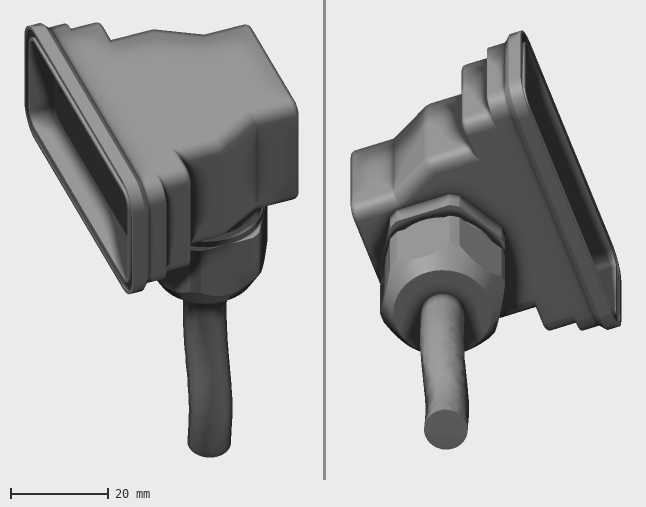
import cadquery as cq
import math


rim_width = 61.9
rim_height = 29.3
rim_corner = 6.0
rim_straight = 2.7
rim_chamfer = 1.5
rim_end = rim_straight + rim_chamfer

hood_height = rim_height - 2 * rim_chamfer
hood_bottom = -hood_height / 2
hood_corner = 3.1
flange_width = rim_width - 2 * rim_chamfer
flange_corner = 4.3
flange_end = 8.0
flange_edge = 0.3
step_width = 53.5
step_end = 14.6
step_edge = 1.0
body_width = 41.0
body_end = 24.2
neck_width = 30.3
neck_start = 33.4
hood_depth = 43.0
rear_edge = 1.2

lip_wall = 0.7
groove_width = 1.8
groove_depth = 0.7
cavity_inset = 2 * lip_wall + groove_width
cavity_depth = 5.4
pin_diameter = 3.0
pin_spacing = 47.1
pin_length = 1.2

gland_y = 28.0
hex_flats = 24.0
hex_corners = 26.6
hex_bottom = -17.7
gland_neck_diameter = 20.5
gland_neck_bottom = -20.6
collar_diameter = hex_flats
collar_bottom = -22.1
nut_cone_start = -33.4
nut_bottom = -39.1
nut_tip_diameter = 20.3

cable_diameter = 9.0
cable_end_x = 2.0
cable_end_z = -83.8
cable_end_tilt = 6.3


def rounded_block(width, height, corner, y_start, y_end):
    """Block along Y with a rounded rectangular section centred on the Y axis."""
    return (
        cq.Workplane("XZ", origin=(0, y_start, 0))
        .rect(width, height)
        .extrude(y_start - y_end)
        .edges("|Y")
        .fillet(corner)
    )


def make_rim():
    rim = rounded_block(rim_width, rim_height, rim_corner, 0, rim_end)
    return rim.faces(">Y").edges().chamfer(rim_chamfer)


def make_flange():
    flange = rounded_block(flange_width, hood_height, flange_corner, 0, flange_end)
    return flange.faces(">Y").edges().fillet(flange_edge)


def make_step():
    step = rounded_block(step_width, hood_height, hood_corner, 0, step_end)
    return step.faces(">Y").edges().fillet(step_edge)


def make_body():
    """Tapering rear part of the hood, its long edges, side bends and rear face rounded."""
    half_body = body_width / 2
    half_neck = neck_width / 2
    bend_margin = 1.0
    outline = [
        (-half_body, cavity_depth),
        (half_body, cavity_depth),
        (half_body, body_end),
        (half_neck, neck_start),
        (half_neck, hood_depth),
        (-half_neck, hood_depth),
        (-half_neck, neck_start),
        (-half_body, body_end),
    ]
    body = cq.Workplane("XY", origin=(0, 0, hood_bottom)).polyline(outline).close().extrude(hood_height)
    bend_zone = cq.selectors.BoxSelector(
        (-body_width, body_end - bend_margin, hood_bottom),
        (body_width, body_end + bend_margin, -hood_bottom),
    )
    bend_edges = body.edges("|Z").edges(bend_zone)
    side_edges = body.faces("|Z").edges("not(<Y or >Y)")
    body = bend_edges.add(side_edges).fillet(hood_corner)
    return body.faces(">Y").edges().fillet(rear_edge)


def make_groove():
    outer_inset = lip_wall
    inner_inset = lip_wall + groove_width
    outer, inner = [
        rounded_block(
            rim_width - 2 * inset, rim_height - 2 * inset, rim_corner - inset, 0, groove_depth
        )
        for inset in (outer_inset, inner_inset)
    ]
    return outer.cut(inner)


def make_cavity():
    width = rim_width - 2 * cavity_inset
    height = rim_height - 2 * cavity_inset
    return rounded_block(width, height, rim_corner - cavity_inset, 0, cavity_depth)


def make_pins():
    return (
        cq.Workplane("XZ", origin=(0, cavity_depth, 0))
        .rarray(pin_spacing, 1, 2, 1)
        .circle(pin_diameter / 2)
        .extrude(pin_length)
    )


def gland_plane(z):
    return cq.Workplane("XY", origin=(0, gland_y, z))


def gland_disc(diameter, top, bottom):
    return gland_plane(bottom).circle(diameter / 2).extrude(top - bottom)


def gland_hex(top, bottom):
    """Hexagon with two flats facing along X and its corners turned to a round."""
    hexagon = (
        gland_plane(bottom)
        .polygon(6, hex_flats, circumscribed=True)
        .extrude(top - bottom)
    )
    return hexagon.intersect(gland_disc(hex_corners, top, bottom))


def make_nut():
    """Hexagonal nut whose lower end is turned to a cone."""
    corner_radius = hex_corners / 2
    profile = [
        (0, collar_bottom),
        (corner_radius, collar_bottom),
        (corner_radius, nut_cone_start),
        (nut_tip_diameter / 2, nut_bottom),
        (0, nut_bottom),
    ]
    turned = (
        cq.Workplane("XZ", origin=(0, gland_y, 0))
        .polyline(profile)
        .close()
        .revolve(360, (0, 0, 0), (0, 1, 0))
    )
    return gland_hex(collar_bottom, nut_bottom).intersect(turned)


def make_gland():
    gland = gland_hex(0, hex_bottom)
    gland = gland.union(gland_disc(gland_neck_diameter, hex_bottom, gland_neck_bottom))
    gland = gland.union(gland_disc(collar_diameter, gland_neck_bottom, collar_bottom))
    return gland.union(make_nut())


def make_cable():
    """Round cable swept along a gentle S-bend, cut square to its path at the free end."""
    tilt = math.radians(cable_end_tilt)
    path_points = [
        (0, nut_bottom),
        (-0.5, -49.5),
        (0.7, -61.1),
        (2.8, -71.8),
        (cable_end_x, cable_end_z),
    ]
    start_direction = (0, -1)
    end_direction = (-math.sin(tilt), -math.cos(tilt))
    path = cq.Workplane("XZ", origin=(0, gland_y, 0)).spline(
        path_points, tangents=[start_direction, end_direction]
    )
    return gland_plane(nut_bottom).circle(cable_diameter / 2).sweep(path)


hood = make_rim().union(make_flange()).union(make_step()).union(make_body())
hood = hood.union(make_gland())
hood = hood.cut(make_groove()).cut(make_cavity()).union(make_pins())
result = hood.union(make_cable())